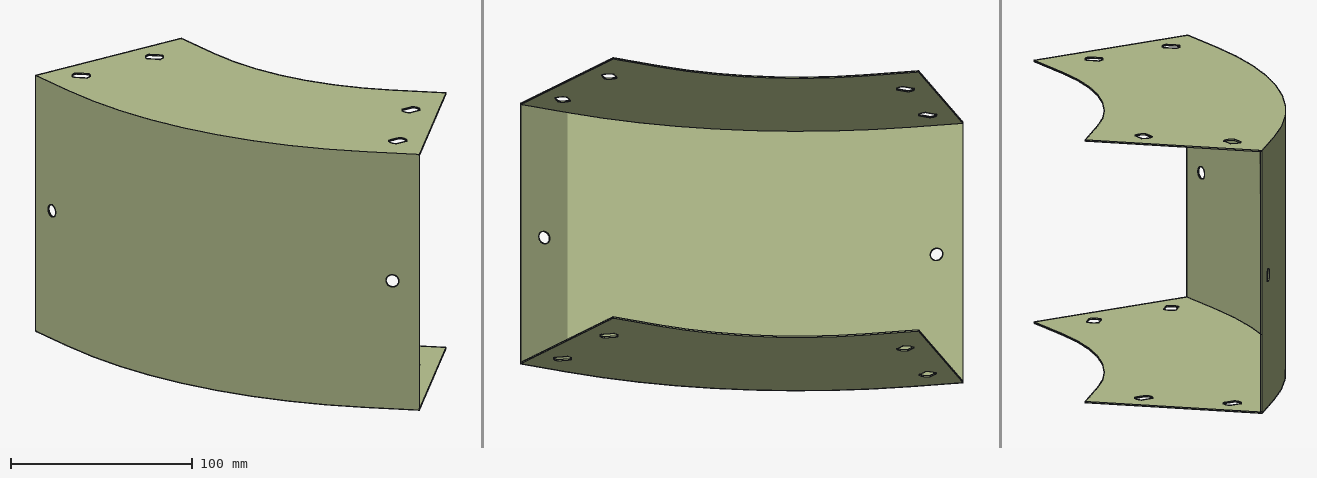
import cadquery as cq
import math

length = 227.6
height = 150.0
width = 100.0
sheet = 0.8
bend_angle = 45.0
straight = 30.0

hole_diameter = 7.0
slot_diameter = 10.0
hole_setback = straight / 2
slot_from_wall = 20.3
slot_spacing = 50.0
slot_tilt = 45.0
right_angle = 90.0

sin_bend = math.sin(math.radians(bend_angle))
cos_bend = math.cos(math.radians(bend_angle))

outer_radius = (length - straight * (1 + cos_bend)) / sin_bend
bend_center = (straight, outer_radius)


def arc_point(radius, angle):
    """Point on the bend, with the angle measured from the start of the bend."""
    turn = math.radians(angle)
    return bend_center[0] + radius * math.sin(turn), bend_center[1] - radius * math.cos(turn)


def channel_strip(inner_offset, bottom, thickness):
    """Solid strip between the outer edge and a line offset inward from it."""
    inner_radius = outer_radius - inner_offset
    outer_bend_end = arc_point(outer_radius, bend_angle)
    inner_bend_end = arc_point(inner_radius, bend_angle)
    run_x = straight * cos_bend
    run_y = straight * sin_bend
    return (
        cq.Workplane("XY", origin=(0, 0, bottom))
        .moveTo(0, 0)
        .lineTo(straight, 0)
        .threePointArc(arc_point(outer_radius, bend_angle / 2), outer_bend_end)
        .lineTo(outer_bend_end[0] + run_x, outer_bend_end[1] + run_y)
        .lineTo(inner_bend_end[0] + run_x, inner_bend_end[1] + run_y)
        .lineTo(*inner_bend_end)
        .threePointArc(arc_point(inner_radius, bend_angle / 2), (straight, inner_offset))
        .lineTo(0, inner_offset)
        .close()
        .extrude(thickness)
    )


def plate_slots(bottom, tilt):
    """Pair of flat-sided holes near the entry end, their flats turned to the tilt angle."""
    slots = cq.Workplane("XY")
    for from_wall in (slot_from_wall, slot_from_wall + slot_spacing):
        round_hole = cq.Workplane("XY").circle(slot_diameter / 2).extrude(sheet)
        flats = cq.Workplane("XY").rect(slot_diameter, hole_diameter).extrude(sheet)
        slot = round_hole.intersect(flats).rotate((0, 0, 0), (0, 0, 1), tilt)
        slots = slots.add(slot.translate((hole_setback, from_wall, bottom)))
    return slots.combine()


def wall_hole():
    """Round hole through the outer wall near the entry end."""
    return (
        cq.Workplane("XZ", origin=(hole_setback, sheet, height / 2))
        .circle(hole_diameter / 2)
        .extrude(sheet)
    )


def at_exit_end(cutter):
    """Carry a cutter from the entry end to the matching place at the exit end."""
    bend_axis_start = (*bend_center, 0)
    bend_axis_end = (*bend_center, 1)
    past_bend = 2 * (straight - hole_setback)
    return cutter.translate((past_bend, 0, 0)).rotate(bend_axis_start, bend_axis_end, bend_angle)


outer_wall = channel_strip(sheet, 0, height)
lower_plate = channel_strip(width, 0, sheet)
upper_plate = channel_strip(width, height - sheet, sheet)
result = outer_wall.union(lower_plate).union(upper_plate)

cutters = [
    plate_slots(height - sheet, slot_tilt),
    plate_slots(0, slot_tilt - right_angle),
    wall_hole(),
]
for cutter in cutters:
    result = result.cut(cutter).cut(at_exit_end(cutter))